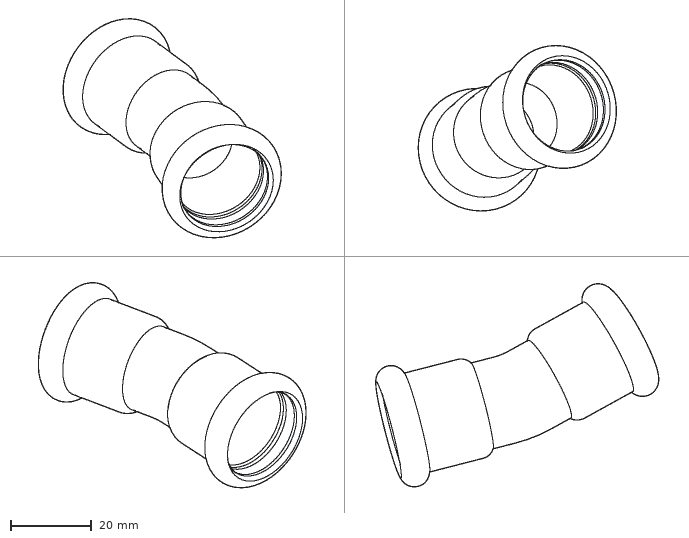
import cadquery as cq
import math

bend_angle = 15.0
bend_radius = 25.6
pipe_radius = 22.0 / 2
pipe_bore_radius = 19.0 / 2

arm_length = 29.7
socket_radius = 25.3 / 2
socket_bore_radius = 22.3 / 2
shoulder_start = 5.7
bore_shoulder_start = 6.4
shoulder_end = 8.7

bead_radius = 30.75 / 2
bead_round = 3.7
bead_ring_radius = bead_radius - bead_round
bead_center = arm_length - bead_round

mouth_radius = 12.25
lip_radius = 22.9 / 2
lip_start_depth = 1.35
groove_start_depth = 2.25
groove_end_depth = 5.3
groove_radius = 11.8
seat_start_depth = 6.4
seat_end_depth = 7.15


def shoulder_middle(start, start_radius, end_radius):
    """Middle of the shoulder arc, which runs tangent into the end radius."""
    length = shoulder_end - start
    rise = end_radius - start_radius
    arc_radius = (length**2 + rise**2) / (2 * rise)
    half_sweep = math.asin(length / arc_radius) / 2
    return (
        shoulder_end - arc_radius * math.sin(half_sweep),
        end_radius - arc_radius * (1 - math.cos(half_sweep)),
    )


def revolve_on_x(profile):
    return profile.close().revolve(360, (0, 0, 0), (1, 0, 0))


def make_arm():
    """Straight hollow arm along +X, from the bend's end plane to its mouth."""
    bead_overlap = math.sqrt(bead_round**2 - (socket_radius - bead_ring_radius) ** 2)
    body = revolve_on_x(
        cq.Workplane("XY")
        .lineTo(0, pipe_radius)
        .lineTo(shoulder_start, pipe_radius)
        .threePointArc(
            shoulder_middle(shoulder_start, pipe_radius, socket_radius),
            (shoulder_end, socket_radius),
        )
        .lineTo(bead_center - bead_overlap, socket_radius)
        .threePointArc((bead_center, bead_radius), (arm_length, bead_ring_radius))
        .lineTo(arm_length, 0)
    )
    groove_middle_depth = (groove_start_depth + groove_end_depth) / 2
    cavity = revolve_on_x(
        cq.Workplane("XY")
        .lineTo(0, pipe_bore_radius)
        .lineTo(bore_shoulder_start, pipe_bore_radius)
        .threePointArc(
            shoulder_middle(bore_shoulder_start, pipe_bore_radius, socket_bore_radius),
            (shoulder_end, socket_bore_radius),
        )
        .lineTo(arm_length - seat_end_depth, socket_bore_radius)
        .lineTo(arm_length - seat_start_depth, lip_radius)
        .lineTo(arm_length - groove_end_depth, lip_radius)
        .threePointArc(
            (arm_length - groove_middle_depth, groove_radius), (arm_length - groove_start_depth, lip_radius)
        )
        .lineTo(arm_length - lip_start_depth, lip_radius)
        .lineTo(arm_length, mouth_radius)
        .lineTo(arm_length, 0)
    )
    return body.cut(cavity)


def make_bend():
    """Hollow bend from the YZ plane at the origin, curving toward -X and -Y."""
    return (
        cq.Workplane("YZ")
        .circle(pipe_radius)
        .circle(pipe_bore_radius)
        .revolve(bend_angle, (-bend_radius, 0, 0), (-bend_radius, 1, 0))
    )


right_arm = make_arm()
left_arm = right_arm.mirror("YZ").rotate((0, -bend_radius, 0), (0, -bend_radius, 1), bend_angle)
result = right_arm.union(make_bend()).union(left_arm)